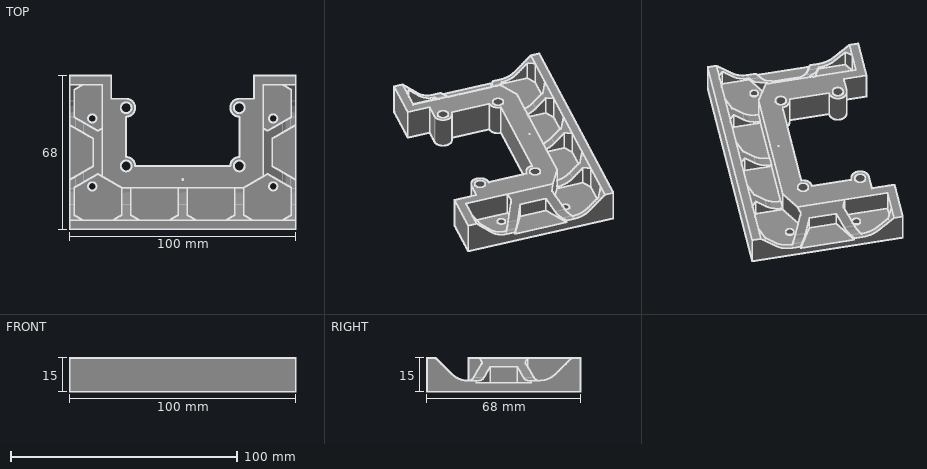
import cadquery as cq
import math

LENGTH = 100.0
DEPTH = 68.0
HEIGHT = 15.0
HALF_LENGTH = LENGTH / 2
MID_Y = DEPTH / 2

WING_INNER_X = 31.5
OPENING_HALF = 25.0
OPENING_Y = 28.0

BOSS_RADIUS = 4.0
BOSS_HOLE_DIAMETER = 4.7
BOSS_REAR_Y = 53.75
SHOULDER_Y = BOSS_REAR_Y + BOSS_RADIUS

CELL_HOLE_DIAMETER = 3.6
CELL_HOLE_X = 40.0
CELL_HOLE_SPACING_Y = 30.0

MARK_DIAMETER = 0.3
MARK_Y = 22.0

CELL_PITCH = 25.0
CELL_WALL = 4.0
CELL_FLATS = CELL_PITCH - CELL_WALL
CELL_SIDES = 6
CELL_TURN = 30.0
CELL_RADIUS = CELL_FLATS / math.sqrt(3)
ROW_PITCH = CELL_PITCH * math.sqrt(3) / 2
FRONT_ROW_Y = MID_Y - ROW_PITCH
REAR_ROW_Y = MID_Y + ROW_PITCH
CORNER_CELL_X = 1.5 * CELL_PITCH
CELL_FLOOR_Z = 4.0

RIM = 4.0
SIDE_WALL_X = WING_INNER_X + RIM
FRONT_WALL_Y = FRONT_ROW_Y + CELL_RADIUS / 2
RIB_TOP_Z = 5.0
RIB_DROP = HEIGHT - RIB_TOP_Z
SLOPE_ANGLE = math.radians(45)
RIM_BEND_RADIUS = 10.0
SIDE_BEND_RADIUS = 5.0


def box(x_min, x_max, y_min, y_max, z_min, z_max):
    size = (x_max - x_min, y_max - y_min, z_max - z_min)
    return cq.Workplane("XY").box(*size, centered=False).translate((x_min, y_min, z_min))


def scoop(plane, start, end, bend_radius):
    """Sketch in `plane` the space above a slope that falls from the top face at `start`
    and bends into a flat at rib height, closed by an upright side at `end`."""
    direction = math.copysign(1, end - start)
    half_angle = SLOPE_ANGLE / 2
    tangent = bend_radius * math.tan(half_angle)
    corner = start + direction * RIB_DROP / math.tan(SLOPE_ANGLE)
    bend_start = (
        corner - direction * tangent * math.cos(SLOPE_ANGLE),
        RIB_TOP_Z + tangent * math.sin(SLOPE_ANGLE),
    )
    bend_end = (corner + direction * tangent, RIB_TOP_Z)
    bend_middle = (
        bend_end[0] - direction * bend_radius * math.sin(half_angle),
        RIB_TOP_Z + bend_radius * (1 - math.cos(half_angle)),
    )
    return (
        cq.Workplane(plane)
        .moveTo(start, HEIGHT)
        .lineTo(*bend_start)
        .threePointArc(bend_middle, bend_end)
        .lineTo(end, RIB_TOP_Z)
        .lineTo(end, HEIGHT)
        .close()
    )


def cell(x, y):
    """Hexagonal prism from the cell floor to the top face."""
    return (
        cq.Workplane("XY", origin=(x, y, CELL_FLOOR_Z))
        .polygon(CELL_SIDES, 2 * CELL_RADIUS)
        .extrude(HEIGHT - CELL_FLOOR_Z)
        .rotate((x, y, 0), (x, y, 1), CELL_TURN)
    )


def boss_centers():
    return [(x, y) for x in (-OPENING_HALF, OPENING_HALF) for y in (OPENING_Y, BOSS_REAR_Y)]


def body():
    block = box(-HALF_LENGTH, HALF_LENGTH, 0, DEPTH, 0, HEIGHT)
    opening = box(-OPENING_HALF, OPENING_HALF, OPENING_Y, DEPTH, 0, HEIGHT)
    wing_gap = box(-WING_INNER_X, WING_INNER_X, SHOULDER_Y, DEPTH, 0, HEIGHT)
    bosses = cq.Workplane("XY").pushPoints(boss_centers()).circle(BOSS_RADIUS).extrude(HEIGHT)
    return block.cut(opening).cut(wing_gap).union(bosses)


def front_scoop():
    profile = scoop("YZ", RIM, FRONT_WALL_Y, RIM_BEND_RADIUS)
    return profile.extrude(HALF_LENGTH, both=True)


def front_cells():
    field = box(-HALF_LENGTH, HALF_LENGTH, RIM, FRONT_WALL_Y, CELL_FLOOR_Z, HEIGHT)
    cells = cell(-CELL_PITCH / 2, FRONT_ROW_Y).union(cell(CELL_PITCH / 2, FRONT_ROW_Y))
    return cells.intersect(field)


def left_side_cuts():
    """Cells and scoops of the left arm."""
    front_corner = cell(-CORNER_CELL_X, FRONT_ROW_Y).intersect(
        box(-HALF_LENGTH, 0, RIM, DEPTH, 0, HEIGHT)
    )
    rear_corner = cell(-CORNER_CELL_X, REAR_ROW_Y).intersect(
        box(-HALF_LENGTH, -SIDE_WALL_X, 0, DEPTH - RIM, 0, HEIGHT)
    )
    edge_cell = cell(-HALF_LENGTH, MID_Y)

    rear_wall_y = DEPTH - FRONT_WALL_Y
    rear_scoop = (
        scoop("YZ", DEPTH - RIM, rear_wall_y, RIM_BEND_RADIUS)
        .extrude(HALF_LENGTH - SIDE_WALL_X)
        .translate((-HALF_LENGTH, 0, 0))
    )
    side_scoop = (
        scoop("XZ", -SIDE_WALL_X, -HALF_LENGTH, SIDE_BEND_RADIUS)
        .extrude(FRONT_WALL_Y - rear_wall_y)
        .translate((0, FRONT_WALL_Y, 0))
    )
    return [front_corner, rear_corner, edge_cell, rear_scoop, side_scoop]


def drill(part):
    cell_holes = [
        (x, MID_Y + offset)
        for x in (-CELL_HOLE_X, CELL_HOLE_X)
        for offset in (-CELL_HOLE_SPACING_Y / 2, CELL_HOLE_SPACING_Y / 2)
    ]
    small = cq.Workplane("XY").pushPoints(cell_holes).circle(CELL_HOLE_DIAMETER / 2)
    large = cq.Workplane("XY").pushPoints(boss_centers()).circle(BOSS_HOLE_DIAMETER / 2)
    mark = cq.Workplane("XY").center(0, MARK_Y).circle(MARK_DIAMETER / 2)
    for holes in (small, large, mark):
        part = part.cut(holes.extrude(HEIGHT))
    return part


def build():
    part = body().cut(front_scoop()).cut(front_cells())
    for tool in left_side_cuts():
        part = part.cut(tool).cut(tool.mirror("YZ"))
    return drill(part)


result = build()